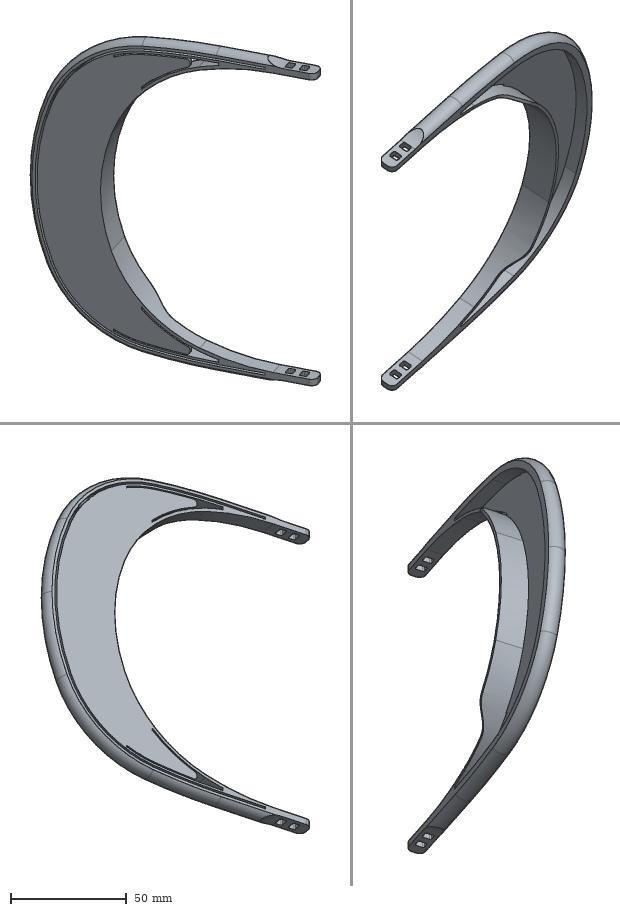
import cadquery as cq
import math


length = 134.2
half_width = 78.4
depth = 8.2
rear = 15.2

rim_width = 5.5
bulge = 2.0
rim_end = 110.7

groove_start = 3.5
groove_width = 1.0
groove_depth = depth / 2

outer_front = 0.0
outer_arcs = ((111.3, 21.5), (56.6, 61.3))
opening_front = 34.0
opening_half_width = 72.9
opening_arcs = ((82.6, 20.2), (64.3, 52.5))

wall = 1.5
lip_slope_centre = (57.5, 55.0)
lip_slope_run = 20.0
lip_slope_angle = math.radians(49)

web_thickness = 1.9
web_end = 75.7
web_corner = 1.5
slit = 0.6
outer_slit_start = 40.1
inner_slit_start = 53.2
window_end = 89.0

arm_top = 76.0
arm_corner = 3.0
blend_end = 119.3
slot_length = 3.3
slot_height = 4.4
slot_corner = 0.6
slot_centres = (121.0, 127.6)


def half_curve(front, reach, arcs, outset=0.0):
    """Open upper half of a C-shaped curve, grown by the outset, ending at the arm tip."""
    curve = cq.Workplane("XZ").moveTo(front - outset, 0)
    radius = arcs[0][0]
    centre_x = front + radius
    centre_z = 0.0
    start = 0.0
    for next_radius, sweep in (*arcs, (None, None)):
        if next_radius is None:
            edge_z = centre_z + radius * math.sin(start)
            next_radius = (reach - edge_z) / (1 - math.sin(start))
            end = math.pi / 2
        else:
            end = start + math.radians(sweep)
        centre_x += (next_radius - radius) * math.cos(start)
        centre_z -= (next_radius - radius) * math.sin(start)
        radius = next_radius
        arc_points = [
            (
                centre_x - (radius + outset) * math.cos(angle),
                centre_z + (radius + outset) * math.sin(angle),
            )
            for angle in ((start + end) / 2, end)
        ]
        curve = curve.threePointArc(*arc_points)
        start = end
    return curve.lineTo(length, reach + outset)


def inside(inset, height=depth):
    """Prism filling the outer curve moved inward by the inset."""
    curve = half_curve(outer_front, half_width, outer_arcs, -inset)
    return curve.lineTo(length, 0).close().extrude(-height)


def opening(outset, height=depth):
    """Prism filling the head opening grown outward by the outset."""
    curve = half_curve(opening_front, opening_half_width, opening_arcs, outset)
    return curve.lineTo(length, 0).close().extrude(-height)


def slab(x_start, x_end):
    """Block spanning the whole part in Y and Z between two X positions."""
    block = cq.Workplane("XY").box(x_end - x_start, 2 * rear, 3 * half_width, centered=(False, True, True))
    return block.translate((x_start, 0, 0))


def rim():
    """Rounded rim and outer face of the arm, swept along the outer curve."""
    path = half_curve(outer_front, half_width, outer_arcs)
    section = (
        cq.Workplane("XY")
        .moveTo(groove_start, 0)
        .lineTo(bulge, 0)
        .threePointArc((0, depth / 2), (bulge, depth))
        .lineTo(groove_start, depth)
        .close()
    )
    return section.sweep(path)


def core():
    """Full-depth crescent inside the rounded rim."""
    return inside(groove_start).cut(opening(0))


def lip():
    """Forehead wall raised behind the rim, its top easing down towards the arms."""
    ring = opening(wall, rear).cut(opening(0, rear))
    along_wall = (math.sin(lip_slope_angle), 0, math.cos(lip_slope_angle))
    out_of_wall = (-math.cos(lip_slope_angle), 0, math.sin(lip_slope_angle))
    centre_x, centre_z = lip_slope_centre
    slope_plane = cq.Plane(origin=(centre_x, 0, centre_z), xDir=along_wall, normal=out_of_wall)
    profile = (
        cq.Workplane(slope_plane)
        .moveTo(-half_width, 0)
        .lineTo(-half_width, rear)
        .lineTo(-lip_slope_run / 2, rear)
        .spline([(lip_slope_run / 2, depth)], tangents=[(1, 0), (1, 0)], includeCurrent=True)
        .lineTo(lip_slope_run / 2, 0)
        .close()
        .extrude(half_width, both=True)
    )
    return ring.intersect(profile)


def gap(height):
    """Space between rim and forehead wall."""
    return inside(rim_width, height).cut(opening(wall, height)).intersect(slab(0, window_end))


def web():
    """Thin visor web, freed from rim and wall by slits near its rounded ends."""
    rim_slit = inside(rim_width, web_thickness).cut(inside(rim_width + slit, web_thickness))
    wall_slit = opening(wall + slit, web_thickness)
    sheet = gap(web_thickness).intersect(slab(0, web_end))
    sheet = sheet.cut(rim_slit.intersect(slab(outer_slit_start, length)))
    sheet = sheet.cut(wall_slit.intersect(slab(inner_slit_start, length)))
    return sheet.faces(">X").edges("|Y").fillet(web_corner)


def groove():
    """Shield groove following the rim."""
    ring = inside(groove_start, groove_depth).cut(inside(groove_start + groove_width, groove_depth))
    return ring.intersect(slab(0, rim_end))


def arm_relief():
    """Cut that thins the arm, with a concave blend behind the rim end."""
    return (
        cq.Workplane("XZ")
        .moveTo(length, half_width)
        .lineTo(length, arm_top)
        .lineTo(blend_end, arm_top)
        .tangentArcPoint((rim_end, half_width), relative=False)
        .close()
        .extrude(-depth)
    )


def strap_slots():
    """Strap slots through the arm."""
    return (
        cq.Workplane("XY", origin=(0, depth / 2, 0))
        .pushPoints([(x, 0) for x in slot_centres])
        .rect(slot_length, slot_height)
        .extrude(half_width)
        .edges("|Z")
        .fillet(slot_corner)
    )


upper = rim().union(core()).cut(gap(depth)).union(web()).union(lip())
upper = upper.cut(groove()).cut(arm_relief())
upper = upper.faces(">X").edges("|Z").fillet(arm_corner).cut(strap_slots())
result = upper.union(upper.mirror("XY"))